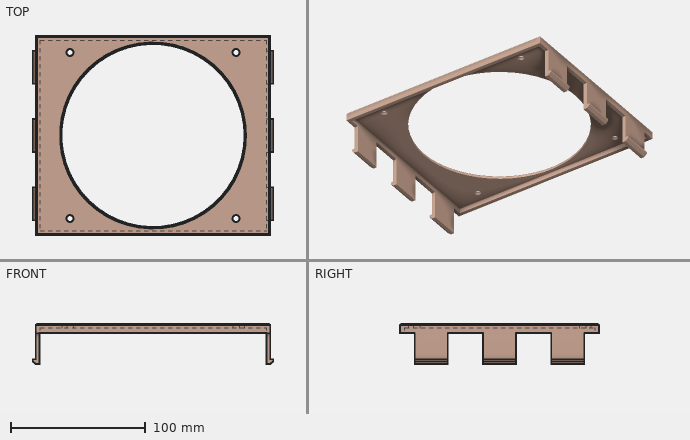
import cadquery as cq

overall_length = 178.8
plate_width = 147.9
overall_height = 30.0

plate_thickness = 7.0
edge_chamfer = 1.0
plate_skin = 3.0
plate_wall = 3.0
opening_diameter = 135.9
opening_chamfer = 1.3
screw_hole_diameter = 5.0
screw_hole_spacing = 123.4

tab_thickness = 3.0
tab_width = 24.7
tab_pitch = 50.8
tabs_per_side = 3
hook_reach = 2.1
hook_lip_height = 1.6
hook_ramp_height = 2.1
hook_ramp_inset = 0.2

plate_length = overall_length - 2 * hook_reach
plate_bottom = overall_height - plate_thickness


def make_plate():
    """Plate with a chamfered upper outline, hollowed from below inside a border wall."""
    plate = (
        cq.Workplane("XY")
        .workplane(offset=plate_bottom)
        .rect(plate_length, plate_width)
        .extrude(plate_thickness)
        .faces(">Z")
        .chamfer(edge_chamfer)
    )
    hollow = (
        cq.Workplane("XY")
        .workplane(offset=plate_bottom)
        .rect(plate_length - 2 * plate_wall, plate_width - 2 * plate_wall)
        .extrude(plate_thickness - plate_skin)
    )
    return plate.cut(hollow)


def make_opening():
    """Round opening that flares outwards at the top surface."""
    radius = opening_diameter / 2
    profile = [
        (0, plate_bottom),
        (radius, plate_bottom),
        (radius, overall_height - opening_chamfer),
        (radius + opening_chamfer, overall_height),
        (0, overall_height),
    ]
    return cq.Workplane("XZ").polyline(profile).close().revolve(360, (0, 0), (0, 1))


def make_screw_holes():
    """Four through holes on a square around the opening."""
    return (
        cq.Workplane("XY")
        .workplane(offset=plate_bottom)
        .rect(screw_hole_spacing, screw_hole_spacing, forConstruction=True)
        .vertices()
        .circle(screw_hole_diameter / 2)
        .extrude(plate_thickness)
    )


def make_tab(center_y):
    """Tab on the +X side, with an outward hook that tapers towards its foot."""
    outer_x = plate_length / 2
    inner_x = outer_x - tab_thickness
    tip_x = outer_x + hook_reach
    foot_x = outer_x - hook_ramp_inset
    hook_top = hook_ramp_height + hook_lip_height
    profile = [
        (inner_x, 0),
        (foot_x, 0),
        (tip_x, hook_ramp_height),
        (tip_x, hook_top),
        (outer_x, hook_top),
        (outer_x, plate_bottom),
        (inner_x, plate_bottom),
    ]
    return (
        cq.Workplane("XZ", origin=(0, center_y, 0))
        .polyline(profile)
        .close()
        .extrude(tab_width / 2, both=True)
    )


result = make_plate().cut(make_opening()).cut(make_screw_holes())
for index in range(tabs_per_side):
    tab = make_tab((index - (tabs_per_side - 1) / 2) * tab_pitch)
    result = result.union(tab).union(tab.mirror("YZ"))